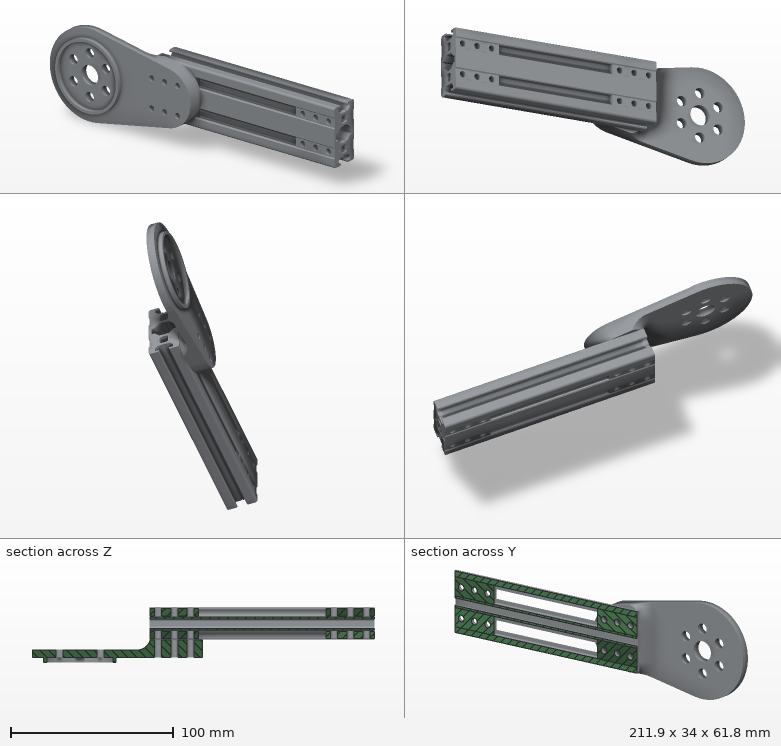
import cadquery as cq
import math


CELL = 20.0
RAIL_LENGTH = 138.0
RAIL_START = 43.0
RAIL_END = RAIL_START + RAIL_LENGTH
RAIL_CORNER_RADIUS = 1.5
ROW_HEIGHTS = (-CELL / 2, CELL / 2)

SLOT_HALF_MOUTH = 3.2
SLOT_MOUTH_CHAMFER = 0.6
SLOT_LIP_DEPTH = 1.4
SLOT_HALF_WIDTH = 6.0
SLOT_TAPER_DEPTH = 3.2
SLOT_DEPTH = 5.4
SLOT_HALF_FLOOR = SLOT_HALF_WIDTH - (SLOT_DEPTH - SLOT_TAPER_DEPTH)
SLOT_CORNER_RADIUS = 0.8
GROOVE_HALF_WIDTH = 0.95
GROOVE_DEPTH = 0.5

BORE_SIZE = 5.5
BORE_CHAMFER = 0.9
HOLLOW_HALF_DEPTH = 8.3
HOLLOW_HALF_WALL = 2.3
HOLLOW_HALF_HEIGHT = SLOT_DEPTH
HOLLOW_HALF_ROOF = 3.1
HOLLOW_HALF_SHOULDER = HOLLOW_HALF_ROOF + HOLLOW_HALF_HEIGHT - HOLLOW_HALF_WALL

NUT_LENGTH = 30.0
NUT_RECESS = 0.6
SCREWS_PER_NUT = 3
SCREW_DIAMETER = 4.0
SCREW_PITCH = NUT_LENGTH / SCREWS_PER_NUT

DISC_RADIUS = 30.9
TIP_RADIUS = 20.0
TIP_X = RAIL_START + NUT_LENGTH / 2
SIN_TAPER = (DISC_RADIUS - TIP_RADIUS) / TIP_X
COS_TAPER = math.sqrt(1 - SIN_TAPER ** 2)
ARM_THICKNESS = 11.0
FLANGE_THICKNESS = 5.0

PAD_HEIGHT = ARM_THICKNESS - FLANGE_THICKNESS
PAD_CORNER_RADIUS = 8.0
PAD_FILLET = 8.0
PAD_FILLET_RUN = math.sqrt(PAD_FILLET ** 2 - (PAD_FILLET - PAD_HEIGHT) ** 2)
PAD_WALL_X = RAIL_START + PAD_FILLET - PAD_FILLET_RUN

RIM_OUTER_DIAMETER = 49.0
RIM_INNER_DIAMETER = 45.0
RIM_HEIGHT = 3.0
CENTER_HOLE_DIAMETER = 13.0
BOLT_HOLE_DIAMETER = 6.6
BOLT_CIRCLE_RADIUS = 14.5
BOLT_COUNT = 6


def front_plane(y):
    """Plane facing -Y at the given y; its axes are X and Z."""
    return cq.Workplane("XZ", origin=(0, y, 0))


def section_plane(start):
    """Plane across the rail at x = start; its axes are Y and Z from the rail's centre line."""
    return cq.Workplane("YZ", origin=(start, CELL / 2, 0))


def mirrored(points):
    """Close a right-hand outline with its mirror image about the vertical axis."""
    return points + [(-u, v) for u, v in reversed(points)]


def drill(points, diameter):
    """Cylinders along Y at (x, z) points, passing through the whole assembly."""
    reach = 2 * CELL
    return front_plane(reach).pushPoints(points).circle(diameter / 2).extrude(2 * reach)


def slot_core(start, length, top_depth):
    """The T-shaped space from top_depth below the face down to the flat slot floor."""
    face = CELL / 2
    outline = mirrored([
        (SLOT_HALF_MOUTH, face - top_depth),
        (SLOT_HALF_MOUTH, face - SLOT_LIP_DEPTH),
        (SLOT_HALF_WIDTH, face - SLOT_LIP_DEPTH),
        (SLOT_HALF_WIDTH, face - SLOT_TAPER_DEPTH),
        (SLOT_HALF_FLOOR, face - SLOT_DEPTH),
    ])
    core = section_plane(start).polyline(outline).close().extrude(length)
    side_faces = core.faces(">Y or <Y")
    return core.newObject(side_faces.edges("|X").vals()).fillet(SLOT_CORNER_RADIUS)


def slot_space(start, length):
    """Everything removed for one T-slot: core, chamfered mouth and floor groove."""
    face = CELL / 2
    mouth = mirrored([
        (SLOT_HALF_MOUTH + SLOT_MOUTH_CHAMFER, face),
        (SLOT_HALF_MOUTH, face - SLOT_MOUTH_CHAMFER),
    ])
    floor = face - SLOT_DEPTH
    groove = [(GROOVE_HALF_WIDTH, floor), (0, floor - GROOVE_DEPTH), (-GROOVE_HALF_WIDTH, floor)]
    space = slot_core(start, length, 0)
    for outline in (mouth, groove):
        space = space.union(section_plane(start).polyline(outline).close().extrude(length))
    return space


def place_in_slot(shape, turn, row_z):
    """Turn a shape from the top slot about the cell centre, then move it to its row."""
    axis_start = (0, CELL / 2, 0)
    axis_end = (1, CELL / 2, 0)
    return shape.rotate(axis_start, axis_end, turn).translate((0, 0, row_z))


def middle_hollow():
    """Space between the two cells, with a vee in its roof and floor."""
    right = [
        (0, HOLLOW_HALF_HEIGHT + GROOVE_DEPTH),
        (GROOVE_HALF_WIDTH, HOLLOW_HALF_HEIGHT),
        (HOLLOW_HALF_ROOF, HOLLOW_HALF_HEIGHT),
        (HOLLOW_HALF_SHOULDER, HOLLOW_HALF_WALL),
        (HOLLOW_HALF_DEPTH, HOLLOW_HALF_WALL),
        (HOLLOW_HALF_DEPTH, 0),
    ]
    half = section_plane(RAIL_START).polyline(right + [(0, 0)]).close().extrude(RAIL_LENGTH)
    upper = half.union(half.mirror("XZ", (0, CELL / 2, 0)))
    return upper.union(upper.mirror("XY"))


def make_rail():
    rail = section_plane(RAIL_START).rect(CELL, 2 * CELL).extrude(RAIL_LENGTH)
    rail = rail.edges("|X").fillet(RAIL_CORNER_RADIUS)
    rail = rail.cut(middle_hollow())
    slot = slot_space(RAIL_START, RAIL_LENGTH)
    for row_z in ROW_HEIGHTS:
        outer_turn = 0 if row_z > 0 else 180
        for turn in (outer_turn, 90, -90):
            rail = rail.cut(place_in_slot(slot, turn, row_z))
        bore = section_plane(RAIL_START).center(0, row_z).rect(BORE_SIZE, BORE_SIZE).extrude(RAIL_LENGTH)
        rail = rail.cut(bore.edges("|X").chamfer(BORE_CHAMFER))
    return rail


def screw_points(start, row_z):
    """(x, z) of the screw holes of a nut that begins at x = start."""
    return [(start + SCREW_PITCH * (i + 0.5), row_z) for i in range(SCREWS_PER_NUT)]


def make_nut(start, turn, row_z):
    nut = place_in_slot(slot_core(start, NUT_LENGTH, NUT_RECESS), turn, row_z)
    return nut.cut(drill(screw_points(start, row_z), SCREW_DIAMETER))


def arm_blank():
    """The full-thickness arm outline."""
    disc_x = DISC_RADIUS * SIN_TAPER
    disc_z = DISC_RADIUS * COS_TAPER
    tip_x = TIP_X + TIP_RADIUS * SIN_TAPER
    tip_z = TIP_RADIUS * COS_TAPER
    return (
        front_plane(0)
        .moveTo(disc_x, disc_z)
        .lineTo(tip_x, tip_z)
        .threePointArc((TIP_X + TIP_RADIUS, 0), (tip_x, -tip_z))
        .lineTo(disc_x, -disc_z)
        .threePointArc((-DISC_RADIUS, 0), (disc_x, disc_z))
        .close()
        .extrude(ARM_THICKNESS)
    )


def stepped_stock():
    """Oversize flange and filleted pad; the arm outline trims them."""
    corner_x = PAD_WALL_X + PAD_CORNER_RADIUS
    corner_z = (DISC_RADIUS - PAD_CORNER_RADIUS - corner_x * SIN_TAPER) / COS_TAPER
    pad_width = 2 * (corner_z + PAD_CORNER_RADIUS)
    stock_end = TIP_X + 2 * TIP_RADIUS
    stock_size = 4 * DISC_RADIUS
    pad_top = PAD_FILLET
    flange = (
        front_plane(-PAD_HEIGHT)
        .center(stock_end - stock_size, 0)
        .rect(2 * stock_size, stock_size)
        .extrude(FLANGE_THICKNESS)
    )
    pad = (
        front_plane(pad_top)
        .center((PAD_WALL_X + stock_end) / 2, 0)
        .rect(stock_end - PAD_WALL_X, pad_width)
        .extrude(pad_top + PAD_HEIGHT)
        .edges("|Y and <X")
        .fillet(PAD_CORNER_RADIUS)
    )
    margin = 0.1
    foot = cq.selectors.BoxSelector(
        (PAD_WALL_X - margin, -PAD_HEIGHT - margin, -pad_width),
        (stock_end - margin, -PAD_HEIGHT + margin, pad_width),
    )
    return flange.union(pad).edges(foot).fillet(PAD_FILLET)


def make_arm():
    arm = arm_blank().intersect(stepped_stock())
    rim = (
        front_plane(-ARM_THICKNESS)
        .circle(RIM_OUTER_DIAMETER / 2)
        .circle(RIM_INNER_DIAMETER / 2)
        .extrude(RIM_HEIGHT)
    )
    arm = arm.union(rim)
    arm = arm.cut(drill([(0, 0)], CENTER_HOLE_DIAMETER))
    bolt_angles = [math.pi / 2 + i * 2 * math.pi / BOLT_COUNT for i in range(BOLT_COUNT)]
    bolts = [(BOLT_CIRCLE_RADIUS * math.cos(a), BOLT_CIRCLE_RADIUS * math.sin(a)) for a in bolt_angles]
    arm = arm.cut(drill(bolts, BOLT_HOLE_DIAMETER))
    for row_z in ROW_HEIGHTS:
        arm = arm.cut(drill(screw_points(RAIL_START, row_z), SCREW_DIAMETER))
    return arm


rail = make_rail()
arm = make_arm()
nuts = []
for nut_start in (RAIL_START, RAIL_END - NUT_LENGTH):
    for slot_turn in (90, -90):
        for nut_row in ROW_HEIGHTS:
            nuts.append(make_nut(nut_start, slot_turn, nut_row))

result = cq.Compound.makeCompound([
    rail.solids().val(),
    arm.solids().val(),
    *[nut.solids().val() for nut in nuts],
])